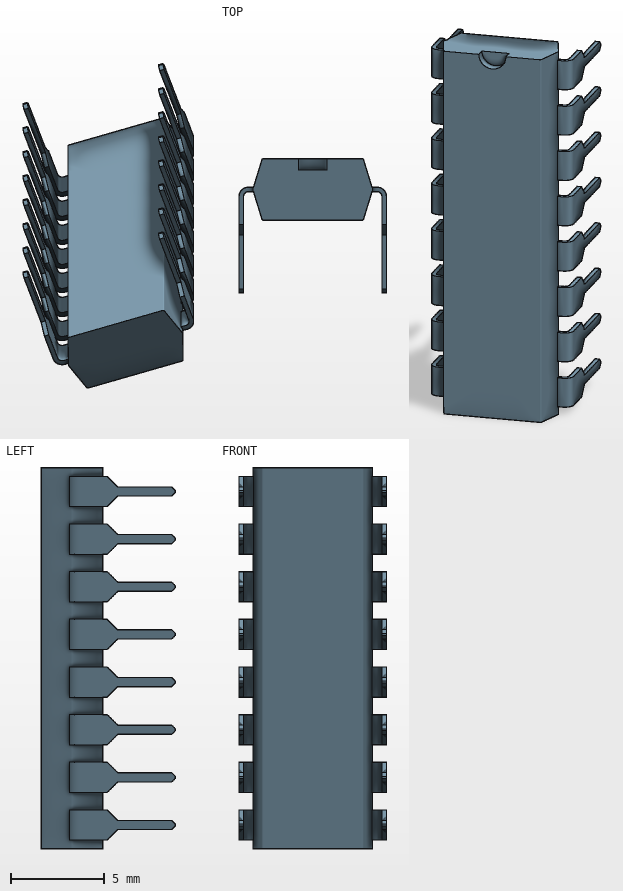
import cadquery as cq
import math


pins_per_side = 8
pitch = 2.54
row_spacing = 7.62

body_length = pins_per_side * pitch
body_width = 6.4
body_height = 3.3
draft_angle = 17.0
edge_radius = 0.12

notch_radius = 0.75
notch_depth = 0.6

lead_thickness = 0.25
bend_inner_radius = 0.25
bend_outer_radius = bend_inner_radius + lead_thickness
shoulder_width = 1.62
pin_width = 0.5
tip_width = 0.1
tip_length = 0.2
taper_length = (shoulder_width - pin_width) / 2
shoulder_drop = 1.88
overall_height = 7.17
tip_drop = overall_height - body_height / 2
lead_embed = 0.5


def make_body():
    """Six-sided prism, widest at mid-height, with rounded long edges."""
    half_height = body_height / 2
    half_waist = body_width / 2
    half_face = half_waist - half_height * math.tan(math.radians(draft_angle))
    outline = [
        (-half_face, -half_height),
        (half_face, -half_height),
        (half_waist, 0),
        (half_face, half_height),
        (-half_face, half_height),
        (-half_waist, 0),
    ]
    body = cq.Workplane("XY").polyline(outline).close().extrude(body_length / 2, both=True)
    return body.edges("|Z").fillet(edge_radius)


def make_notch():
    """Round cutter on the +Z end, sunk from the top face."""
    floor = body_height / 2 - notch_depth
    cutter = cq.Workplane("XZ", origin=(0, floor, 0)).center(0, body_length / 2)
    return cutter.circle(notch_radius).extrude(-notch_depth)


def make_bent_strip():
    """Full-width strip leaving the body along +X and bending down to -Y."""
    half_thickness = lead_thickness / 2
    inner_end = body_width / 2 - lead_embed
    outer_face = row_spacing / 2 + half_thickness
    inner_face = outer_face - lead_thickness
    bend_x = outer_face - bend_outer_radius
    bend_y = half_thickness - bend_outer_radius
    diagonal = math.sqrt(0.5)
    outer_mid = (bend_x + bend_outer_radius * diagonal, bend_y + bend_outer_radius * diagonal)
    inner_mid = (bend_x + bend_inner_radius * diagonal, bend_y + bend_inner_radius * diagonal)
    return (
        cq.Workplane("XY")
        .moveTo(inner_end, half_thickness)
        .lineTo(bend_x, half_thickness)
        .threePointArc(outer_mid, (outer_face, bend_y))
        .lineTo(outer_face, -tip_drop)
        .lineTo(inner_face, -tip_drop)
        .lineTo(inner_face, bend_y)
        .threePointArc(inner_mid, (bend_x, -half_thickness))
        .lineTo(inner_end, -half_thickness)
        .close()
        .extrude(shoulder_width / 2, both=True)
    )


def make_lead_outline():
    """Prism along X with the lead's side outline: shoulder, taper, pin, pointed tip."""
    half_outline = [
        (lead_thickness / 2, shoulder_width / 2),
        (-shoulder_drop, shoulder_width / 2),
        (-shoulder_drop - taper_length, pin_width / 2),
        (-tip_drop + tip_length, pin_width / 2),
        (-tip_drop, tip_width / 2),
    ]
    mirrored_half = [(y, -z) for y, z in reversed(half_outline)]
    return cq.Workplane("YZ").polyline(half_outline + mirrored_half).close().extrude(row_spacing)


def make_package():
    package = make_body().cut(make_notch())
    right_lead = make_bent_strip().intersect(make_lead_outline())
    left_lead = right_lead.mirror("YZ")
    for pin in range(pins_per_side):
        z = (pin - (pins_per_side - 1) / 2) * pitch
        for lead in (left_lead, right_lead):
            package = package.union(lead.translate((0, 0, z)))
    return package


result = make_package()